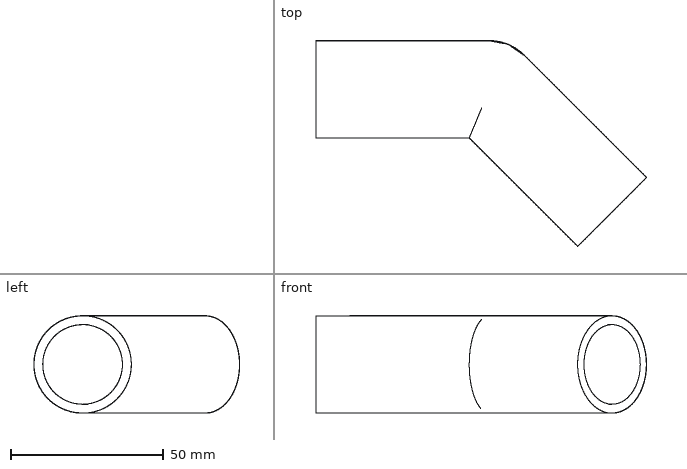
import cadquery as cq
import math

overall_length = 108.6
outer_diameter = 32.0
bore_diameter = 26.2
bend_angle = 45.0

bend = math.radians(bend_angle)
end_face_reach = outer_diameter / 2 * math.sin(bend)
leg_length = (overall_length - end_face_reach) / (1 + math.cos(bend))

joint = cq.Vector(0, 0, 0)
inlet_direction = cq.Vector(-1, 0, 0)
outlet_direction = cq.Vector(math.cos(bend), -math.sin(bend), 0)


def elbow_body(diameter):
    """Solid elbow: a ball at the joint with a cylinder along each leg."""
    radius = diameter / 2
    body = cq.Workplane("XY").sphere(radius)
    for direction in (inlet_direction, outlet_direction):
        leg = cq.Solid.makeCylinder(radius, leg_length, joint, direction)
        body = body.union(cq.Workplane(obj=leg))
    return body


result = elbow_body(outer_diameter).cut(elbow_body(bore_diameter))